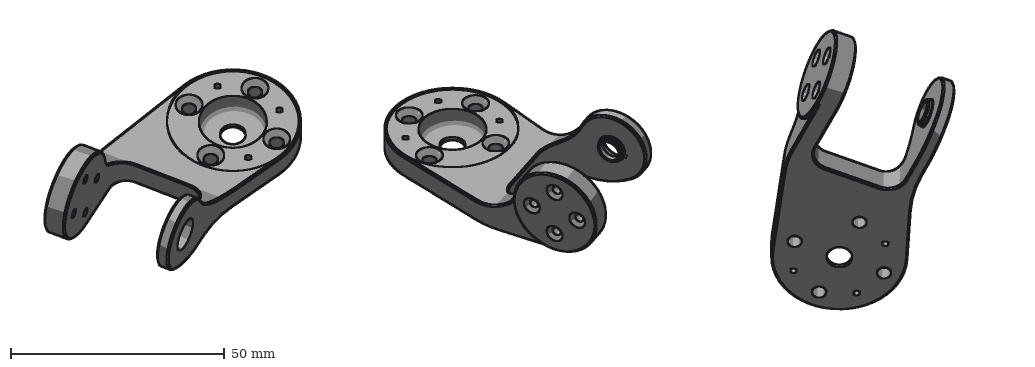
import cadquery as cq
import math

hub_radius = 16.0
plate_height = 6.0
edge_chamfer = 0.4

overall_length = 66.95
disc_diameter = 22.0
disc_radius = disc_diameter / 2
axis_y = hub_radius + disc_radius - overall_length
axis_z = disc_radius
lug_radius = 9.05

arm_left = -23.5
arm_left_inner = -18.6
arm_right_inner = 4.55
arm_right = 7.6
disc_step = 0.55

left_tilt = math.radians(17.5)
left_bend_radius = 20.0
right_tilt = math.radians(21.3)
right_bend_radius = 30.0
notch_y = -23.05
notch_corner_radius = 4.55

ramp_radius = 15.0
disc_blend_radius = 5.0
foot_radius = 20.0

recess_radius = 15.5
recess_depth = 0.5
pocket_radius = 8.0
pocket_depth = 4.55
pocket_fillet = 1.5
hub_bore_diameter = 6.0
hub_bolt_radius = 11.5
hub_screw_diameter = 3.35
hub_screw_head_diameter = 6.3
pin_diameter = 1.5
screw_count = 4
pin_angles = (-45, 45, 135)

disc_bolt_radius = 6.0
disc_screw_diameter = 2.15
disc_screw_head_diameter = 4.2
countersink_angle = 90
boss_radius = 3.3
boss_height = 1.2
boss_chamfer = 0.35
boss_flare = 0.2
boss_bore_radius = 2.5
counterbore_radius = 4.0
counterbore_depth = 2.75


def polar(center, radius, angle):
    """Point at a radius and angle (radians) from center."""
    return (center[0] + radius * math.cos(angle), center[1] + radius * math.sin(angle))


def flank(tilt, side, wall_x, bend_radius):
    """One side of the plan: flank tangent to the hub, then a bend tangent to the arm wall.

    side is -1 for the left flank and +1 for the right one; tilt is the lean of the flank from Y.
    Both bends are centred on the +X side of their wall.
    Returns the hub tangent point, then the start, middle and end of the bend.
    """
    normal_x = side * math.cos(tilt)
    normal_y = -side * math.sin(tilt)
    tangent = (hub_radius * normal_x, hub_radius * normal_y)
    center_x = wall_x + bend_radius
    center_y = (hub_radius + side * bend_radius - normal_x * center_x) / normal_y
    center = (center_x, center_y)
    start = polar(center, bend_radius, math.pi - tilt)
    middle = polar(center, bend_radius, math.pi - tilt / 2)
    end = (wall_x, center_y)
    return tangent, start, middle, end


def plan_prism():
    """Hub, flanks and the two parallel arms, as a tall prism along Z."""
    left_tangent, left_start, left_middle, left_end = flank(left_tilt, -1, arm_left, left_bend_radius)
    right_tangent, right_start, right_middle, right_end = flank(
        right_tilt, 1, arm_right, right_bend_radius
    )
    arm_end_y = axis_y - disc_diameter
    prism_height = disc_diameter
    margin = 0.7
    outline = (
        cq.Workplane("XY")
        .moveTo(*left_tangent)
        .threePointArc((0, hub_radius), right_tangent)
        .lineTo(*right_start)
        .threePointArc(right_middle, right_end)
        .lineTo(arm_right, arm_end_y)
        .lineTo(arm_right_inner, arm_end_y)
        .lineTo(arm_right_inner, notch_y)
        .lineTo(arm_left_inner, notch_y)
        .lineTo(arm_left_inner, arm_end_y)
        .lineTo(arm_left, arm_end_y)
        .lineTo(*left_end)
        .threePointArc(left_middle, left_start)
        .close()
        .extrude(prism_height)
    )
    notch_corners = cq.selectors.BoxSelector(
        (arm_left_inner - margin, notch_y - margin, 0),
        (arm_right_inner + margin, notch_y + margin, prism_height),
    )
    return outline.edges("|Z").edges(notch_corners).fillet(notch_corner_radius)


ramp_center_z = plate_height + ramp_radius
ramp_angle = math.asin((ramp_center_z - axis_z) / (lug_radius + ramp_radius))
ramp_center = (axis_y + (lug_radius + ramp_radius) * math.cos(ramp_angle), ramp_center_z)
ramp_start = (ramp_center[0], plate_height)
axis_point = (axis_y, axis_z)


def arc_midpoint(center, start, end):
    """Middle of the shorter arc from start to end."""
    radius = math.dist(center, start)
    chord_x = (start[0] + end[0]) / 2 - center[0]
    chord_y = (start[1] + end[1]) / 2 - center[1]
    return polar(center, radius, math.atan2(chord_y, chord_x))


def extrude_profile(profile, left_x, right_x):
    """Close a (Y, Z) profile and extrude it between two X stations."""
    return profile.close().extrude(right_x - left_x).translate((left_x, 0, 0))


def lug_side_prism(left_x, right_x):
    """Side profile (Y, Z) of the plate, ramp and idler lug, with a rounded foot under the lug."""
    rim_top = polar(axis_point, lug_radius, ramp_angle)
    foot_angle = math.acos((foot_radius - axis_z) / (foot_radius - lug_radius))
    foot_center = (axis_y + (foot_radius - lug_radius) * math.sin(foot_angle), foot_radius)
    foot_start = (foot_center[0], 0)
    rim_bottom = polar(axis_point, lug_radius, -math.pi / 2 - foot_angle)
    profile = (
        cq.Workplane("YZ")
        .moveTo(hub_radius, 0)
        .lineTo(hub_radius, plate_height)
        .lineTo(*ramp_start)
        .threePointArc(arc_midpoint(ramp_center, ramp_start, rim_top), rim_top)
        .threePointArc((axis_y - lug_radius, axis_z), rim_bottom)
        .threePointArc(arc_midpoint(foot_center, rim_bottom, foot_start), foot_start)
    )
    return extrude_profile(profile, left_x, right_x)


def disc_side_prism(left_x, right_x):
    """Side profile (Y, Z) of the plate and ramp, blended by a small arc into the drive disc rim."""
    to_ramp = ramp_radius - disc_blend_radius
    to_axis = disc_radius + disc_blend_radius
    span = math.dist(axis_point, ramp_center)
    span_angle = math.atan2(ramp_center[1] - axis_z, ramp_center[0] - axis_y)
    corner_angle = math.acos((to_axis**2 + span**2 - to_ramp**2) / (2 * to_axis * span))
    blend_angle = span_angle - corner_angle
    blend_center = polar(axis_point, to_axis, blend_angle)
    blend_end = polar(axis_point, disc_radius, blend_angle)
    ramp_to_blend = math.atan2(blend_center[1] - ramp_center[1], blend_center[0] - ramp_center[0])
    ramp_end = polar(ramp_center, ramp_radius, ramp_to_blend)
    profile = (
        cq.Workplane("YZ")
        .moveTo(hub_radius, 0)
        .lineTo(hub_radius, plate_height)
        .lineTo(*ramp_start)
        .threePointArc(arc_midpoint(ramp_center, ramp_start, ramp_end), ramp_end)
        .threePointArc(arc_midpoint(blend_center, ramp_end, blend_end), blend_end)
        .threePointArc((axis_y - disc_radius, axis_z), (axis_y, 0))
    )
    return extrude_profile(profile, left_x, right_x)


def body():
    """Plan prism trimmed by one side profile per arm; the profiles agree between the arms."""
    middle_x = (arm_left_inner + arm_right_inner) / 2
    sides = disc_side_prism(arm_left, middle_x).union(lug_side_prism(middle_x, hub_radius))
    return plan_prism().intersect(sides).clean()


def is_plan_rim(edge):
    """True for edges along the plan outline; false for uprights and for seams across an arm."""
    if edge.geomType() != "LINE":
        return True
    tolerance = 0.01
    direction = edge.tangentAt(0)
    is_upright = abs(direction.z) > 1 - tolerance
    is_across = abs(direction.x) > 1 - tolerance
    is_notch = abs(edge.Center().y - notch_y) < tolerance
    return not is_upright and (is_notch or not is_across)


def chamfer_rims(solid):
    """Chamfer the upper and lower rims of the plate and arms."""
    rims = [edge for edge in solid.edges().vals() if is_plan_rim(edge)]
    return solid.newObject(rims).chamfer(edge_chamfer)


def cylinder_along_x(radius, left_x, length):
    return cq.Workplane("YZ", origin=(left_x, axis_y, axis_z)).circle(radius).extrude(length)


def drive_disc():
    """Disc on the left arm, standing proud of the arm's outer wall."""
    left_x = arm_left - disc_step
    disc = cylinder_along_x(disc_radius, left_x, arm_left_inner - left_x)
    return disc.faces("<X or >X").chamfer(edge_chamfer)


def idler_boss():
    """Short collar on the inner wall of the idler lug, chamfered at its tip and flared at its root."""
    boss = cylinder_along_x(boss_radius, arm_right_inner - boss_height, boss_height)
    boss = boss.faces("<X").edges().chamfer(boss_chamfer)
    root = cq.Workplane("XY").add(
        cq.Solid.makeCone(
            boss_radius,
            boss_radius + boss_flare,
            boss_flare,
            cq.Vector(arm_right_inner - boss_flare, axis_y, axis_z),
            cq.Vector(1, 0, 0),
        )
    )
    return boss.union(root)


def cut_hub(solid):
    """Shallow recess with a filleted pocket, centre bore, countersunk screw holes and pin holes."""
    floor_z = plate_height - recess_depth
    recess = cq.Workplane("XY", origin=(0, 0, floor_z)).circle(recess_radius).extrude(recess_depth)
    pocket = (
        cq.Workplane("XY", origin=(0, 0, floor_z - pocket_depth))
        .circle(pocket_radius)
        .extrude(pocket_depth)
        .faces("<Z")
        .edges()
        .fillet(pocket_fillet)
    )
    floor = cq.Workplane("XY", origin=(0, 0, floor_z))
    pins = [polar((0, 0), hub_bolt_radius, math.radians(angle)) for angle in pin_angles]
    drilled = solid.cut(recess).cut(pocket).copyWorkplane(floor).hole(hub_bore_diameter, floor_z)
    drilled = drilled.copyWorkplane(floor).pushPoints(pins).hole(pin_diameter, floor_z)
    return (
        drilled.copyWorkplane(floor)
        .polarArray(hub_bolt_radius, 0, 360, screw_count)
        .cskHole(hub_screw_diameter, hub_screw_head_diameter, countersink_angle, floor_z)
    )


def cut_drive_disc(solid):
    """Countersunk screw holes through the drive disc, entered from its outer face."""
    left_x = arm_left - disc_step
    outer_face = cq.Workplane(cq.Plane((left_x, axis_y, axis_z), (0, -1, 0), (-1, 0, 0)))
    return (
        solid.copyWorkplane(outer_face)
        .polarArray(disc_bolt_radius, 0, 360, screw_count)
        .cskHole(
            disc_screw_diameter, disc_screw_head_diameter, countersink_angle, arm_left_inner - left_x
        )
    )


def cut_idler_bore(solid):
    """Bore through the boss, widened to a counterbore from the outer face of the lug."""
    left_x = arm_right_inner - boss_height
    bore = cylinder_along_x(boss_bore_radius, left_x, arm_right - left_x)
    counterbore = cylinder_along_x(counterbore_radius, arm_right - counterbore_depth, counterbore_depth)
    return solid.cut(bore).cut(counterbore)


result = chamfer_rims(body()).union(drive_disc()).union(idler_boss())
result = cut_idler_bore(cut_drive_disc(cut_hub(result)))